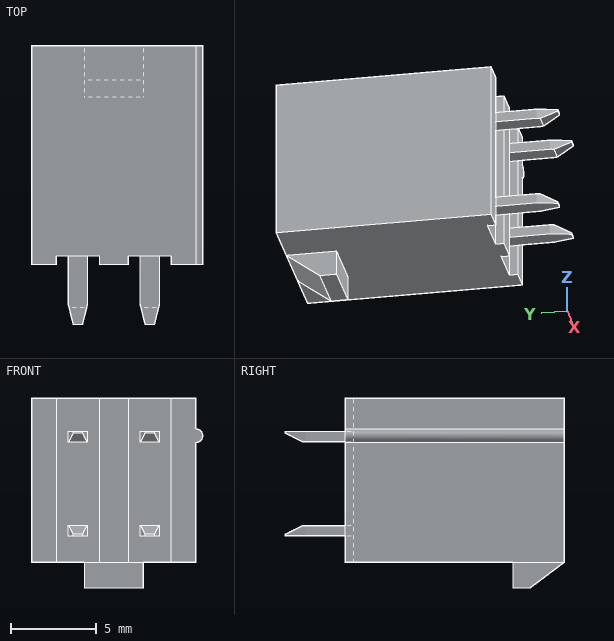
import cadquery as cq

body_width = 9.6
body_depth = 12.8
body_height = 9.6

pin_pitch = 4.2
column_positions = (-pin_pitch / 2, pin_pitch / 2)
channel_width = 2.5
channel_depth = 0.5

row_spacing = 5.5
lower_row_height = 1.85
upper_row_height = lower_row_height + row_spacing
pin_width = 1.15
pin_thickness = 0.6
pin_projection = 3.5
side_taper_length = 1.2
bevel_length = 1.0
tip_width = 0.55
tip_thickness = 0.1

rib_radius = 0.4
rib_height = 7.4

latch_width = 3.45
latch_length = 3.0
latch_flat_length = 1.0
latch_drop = 1.5


def make_housing():
    """Plain block with the two channels cut over its full height."""
    housing = cq.Workplane("XY").box(body_width, body_depth, body_height, centered=(True, False, False))
    for x in column_positions:
        channel = (
            cq.Workplane("XY")
            .box(channel_width, channel_depth, body_height, centered=(True, False, False))
            .translate((x, 0, 0))
        )
        housing = housing.cut(channel)
    return housing


def make_rib():
    """Half-round rib over the full depth of the +X side."""
    return (
        cq.Workplane("XZ")
        .center(body_width / 2, rib_height)
        .circle(rib_radius)
        .extrude(-body_depth)
    )


def make_latch():
    """Wedge that slopes down and forward from the rear bottom edge."""
    front = body_depth - latch_length
    return (
        cq.Workplane("YZ")
        .moveTo(front, 0)
        .lineTo(front, -latch_drop)
        .lineTo(front + latch_flat_length, -latch_drop)
        .lineTo(body_depth, 0)
        .close()
        .extrude(latch_width / 2, both=True)
    )


def make_pin(x, z, bevel_side):
    """Pin from the channel floor, bevelled above (bevel_side = 1) or below (-1)."""
    tip = -pin_projection
    taper_start = tip + side_taper_length
    outline = (
        cq.Workplane("XY")
        .moveTo(-pin_width / 2, channel_depth)
        .lineTo(-pin_width / 2, taper_start)
        .lineTo(-tip_width / 2, tip)
        .lineTo(tip_width / 2, tip)
        .lineTo(pin_width / 2, taper_start)
        .lineTo(pin_width / 2, channel_depth)
        .close()
        .extrude(pin_thickness / 2, both=True)
    )
    flat_face = -bevel_side * pin_thickness / 2
    bevelled_face = bevel_side * pin_thickness / 2
    profile = (
        cq.Workplane("YZ")
        .moveTo(channel_depth, flat_face)
        .lineTo(tip, flat_face)
        .lineTo(tip, flat_face + bevel_side * tip_thickness)
        .lineTo(tip + bevel_length, bevelled_face)
        .lineTo(channel_depth, bevelled_face)
        .close()
        .extrude(pin_width / 2, both=True)
    )
    return outline.intersect(profile).translate((x, 0, z))


result = make_housing().union(make_rib()).union(make_latch())
for column in column_positions:
    result = result.union(make_pin(column, lower_row_height, 1))
    result = result.union(make_pin(column, upper_row_height, -1))